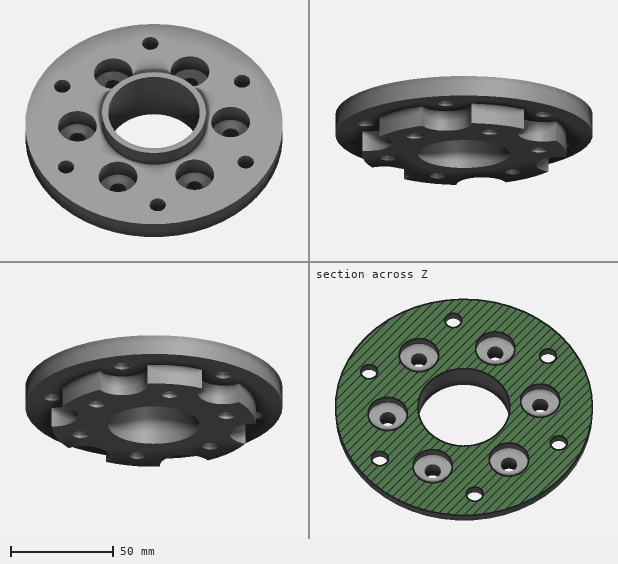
import cadquery as cq

pad_height = 10.0
flange_height = 10.0
hub_height = 9.0
flange_top = pad_height + flange_height
total_height = flange_top + hub_height

flange_diameter = 126.0
hub_diameter = 50.8
bore_diameter = 44.8
pad_diameter = 100.0

bolt_count = 6
bolt_hole_diameter = 8.0
outer_bolt_radius = 50.8
outer_start_angle = 30.0
inner_bolt_radius = 37.5
inner_start_angle = 0.0

counterbore_diameter = 19.0
counterbore_depth = 10.0
scallop_diameter = 25.0


def disc(diameter, bottom, height):
    """Solid cylinder on the Z axis, starting at the given level."""
    return cq.Workplane("XY").workplane(offset=bottom).circle(diameter / 2).extrude(height)


def bolt_cylinders(pattern_radius, start_angle, diameter, bottom, top):
    """Cylinders at every bolt position of one pattern, used as cutters."""
    return (
        cq.Workplane("XY")
        .workplane(offset=bottom)
        .polarArray(pattern_radius, start_angle, 360, bolt_count)
        .circle(diameter / 2)
        .extrude(top - bottom)
    )


def scalloped_pad():
    """Lower disc, cut away around the outer bolts to clear their nuts."""
    scallops = bolt_cylinders(outer_bolt_radius, outer_start_angle, scallop_diameter, 0, pad_height)
    return disc(pad_diameter, 0, pad_height).cut(scallops)


def outer_bolt_holes():
    """Plain through holes near the flange rim."""
    return bolt_cylinders(outer_bolt_radius, outer_start_angle, bolt_hole_diameter, 0, flange_top)


def inner_bolt_holes():
    """Through holes with counterbores in the flange's top face."""
    holes = bolt_cylinders(inner_bolt_radius, inner_start_angle, bolt_hole_diameter, 0, flange_top)
    counterbores = bolt_cylinders(
        inner_bolt_radius,
        inner_start_angle,
        counterbore_diameter,
        flange_top - counterbore_depth,
        flange_top,
    )
    return holes.union(counterbores)


flange = disc(flange_diameter, pad_height, flange_height)
hub = disc(hub_diameter, flange_top, hub_height)
body = scalloped_pad().union(flange).union(hub)

result = (
    body.cut(disc(bore_diameter, 0, total_height))
    .cut(outer_bolt_holes())
    .cut(inner_bolt_holes())
)